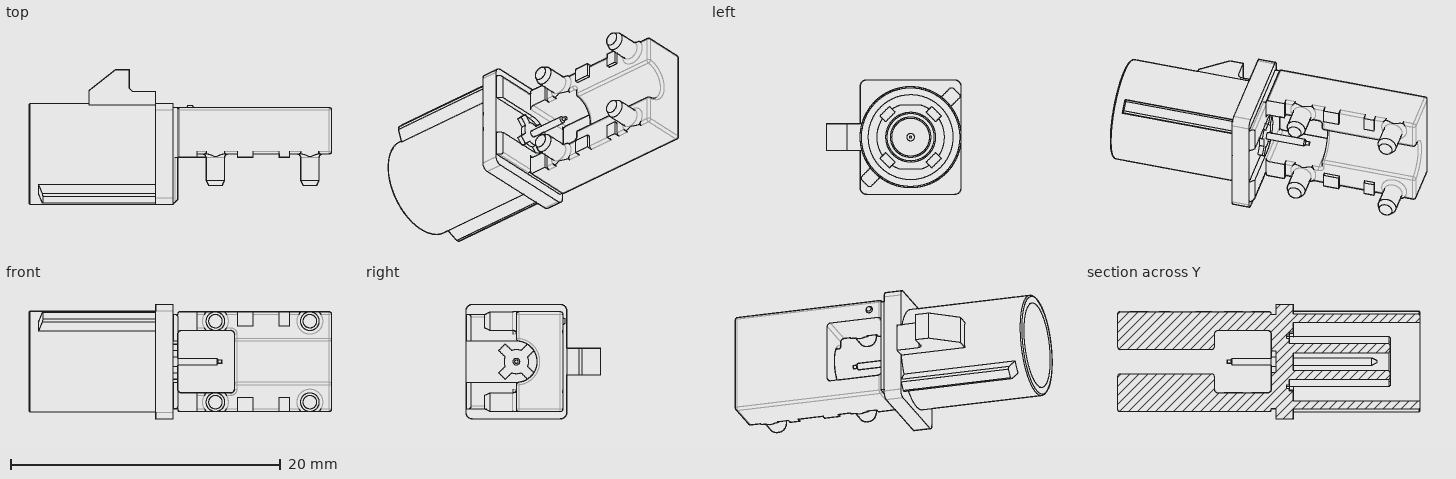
import cadquery as cq
import math


FULL_TURN = 360
DIAGONAL = 45

BARREL_RADIUS = 3.75
BARREL_BORE_RADIUS = 3.15
BARREL_EDGE_CHAMFER = 0.1

FLANGE_FRONT = 9.4
FLANGE_THICKNESS = 1.3
FLANGE_BACK = FLANGE_FRONT + FLANGE_THICKNESS
FLANGE_WIDTH = 2 * BARREL_RADIUS
FLANGE_HEIGHT = 8.5
FLANGE_CORNER_RADIUS = 0.5

POCKET_RADIUS = 2.5
POCKET_HALF_HEIGHT = 2.37
POCKET_DEPTH = 0.3
WINDOW_WIDTH = 1.0
WINDOW_INNER = 2.12
WINDOW_OUTER = 2.72
WINDOW_DEPTH = 0.5

TUBE_FRONT = 2.22
TUBE_RADIUS = 1.85
TUBE_BORE_RADIUS = 1.4
TUBE_EDGE_CHAMFER = 0.1
CONTACT_FRONT = 3.2
CONTACT_FRONT_RADIUS = 0.28
CONTACT_TIP_LENGTH = 0.4
CONTACT_TIP_RADIUS = 0.08
TAIL_RADIUS = 0.25
TAIL_END = 14.03
TAIL_CHAMFER = 0.1
TAIL_NIB_RADIUS = 0.13
TAIL_NIB_LENGTH = 0.27

LATCH_FRONT = 4.45
LATCH_WIDTH = 2.0
LATCH_TOP = 6.25
LATCH_NOSE_TOP = 4.7
LATCH_CREST_FRONT = 6.42
LATCH_CREST_BACK = 7.45
LATCH_BACK_TOP = 4.65
LATCH_CORNER_CHAMFER = 0.22

RIB_TIP = 4.8
RIB_WIDTH = 1.0
RIB_TIP_CHAMFER = 0.15
RIB_FRONT_AT_BARREL = 0.74
RIB_FRONT_AT_TIP = 1.05
RIB_ANGLES = (DIAGONAL, DIAGONAL + FULL_TURN / 2)

NECK_BACK = 11.05
NECK_HALF_HEIGHT = 3.5
NECK_BOTTOM = -3.7
NECK_CHAMFER = 0.34
NECK_EDGE_RADIUS = 0.2
NECK_SLOT_HALF_HEIGHT = 1.54

CROSS_LENGTH = 1.51
CROSS_ARM_WIDTH = 0.68
CROSS_HUB_RADIUS = 0.9

BLOCK_BACK = 22.45
BLOCK_TOP = 3.45
BLOCK_HALF_HEIGHT = 3.7
BLOCK_EDGE_RADIUS = 0.2
BLOCK_FRONT_EDGE_RADIUS = 0.13
WELL_BACK = 15.23
WELL_HALF_HEIGHT = 2.3
WELL_CORNER_RADIUS = 0.25
GROOVE_RADIUS = 1.53
KNOB_X = 11.96
KNOB_Z = (WELL_HALF_HEIGHT + BLOCK_HALF_HEIGHT) / 2
KNOB_RADIUS = 0.25
KNOB_HEIGHT = 0.15
KNOB_TAPER_ANGLE = 25

PAD_HEIGHT = 0.25
PAD_INNER = 2.65
FRONT_PAD_BACK = 12.45
PAD_SPANS = ((15.45, 16.63), (18.56, 19.33))

PIN_X = (13.83, 20.83)
PIN_Z = 3.0
PIN_RADIUS = 0.69
PIN_TIP_RADIUS = 0.5
PIN_TIP_LENGTH = 0.4
PIN_LENGTH = 2.35
PIN_FOOT_RADIUS = 0.27

TUBE_ROOT = 0.3


def disc(radius, start, end):
    """Cylinder about the X axis from x = start to x = end."""
    return cq.Workplane("YZ", origin=(start, 0, 0)).circle(radius).extrude(end - start)


def box(x_range, y_range, z_range):
    """Box given by its limits along each axis."""
    size = [high - low for low, high in (x_range, y_range, z_range)]
    corner = cq.Vector(x_range[0], y_range[0], z_range[0])
    return cq.Workplane(cq.Solid.makeBox(*size, corner))


def make_shell():
    barrel = disc(BARREL_RADIUS, 0, FLANGE_FRONT).faces("<X").chamfer(BARREL_EDGE_CHAMFER)
    flange = (
        cq.Workplane("YZ", origin=(FLANGE_FRONT, 0, 0))
        .rect(FLANGE_WIDTH, FLANGE_HEIGHT)
        .extrude(FLANGE_THICKNESS)
        .edges("|X")
        .fillet(FLANGE_CORNER_RADIUS)
    )
    return barrel.union(flange)


def make_rib(angle):
    half_width = RIB_WIDTH / 2
    rib = (
        cq.Workplane("XZ", origin=(0, half_width, 0))
        .polyline([
            (FLANGE_FRONT, BARREL_BORE_RADIUS),
            (RIB_FRONT_AT_BARREL, BARREL_BORE_RADIUS),
            (RIB_FRONT_AT_BARREL, BARREL_RADIUS),
            (RIB_FRONT_AT_TIP, RIB_TIP),
            (FLANGE_FRONT, RIB_TIP),
        ])
        .close()
        .extrude(RIB_WIDTH)
        .edges("|X and >Z")
        .chamfer(RIB_TIP_CHAMFER)
    )
    return rib.rotate((0, 0, 0), (1, 0, 0), angle)


def make_latch():
    return (
        cq.Workplane("XY", origin=(0, 0, -LATCH_WIDTH / 2))
        .moveTo(LATCH_FRONT, BARREL_BORE_RADIUS)
        .lineTo(LATCH_FRONT, LATCH_NOSE_TOP)
        .lineTo(LATCH_CREST_FRONT, LATCH_TOP)
        .lineTo(LATCH_CREST_BACK, LATCH_TOP)
        .lineTo(LATCH_CREST_BACK, LATCH_BACK_TOP + LATCH_CORNER_CHAMFER)
        .lineTo(LATCH_CREST_BACK + LATCH_CORNER_CHAMFER, LATCH_BACK_TOP)
        .lineTo(FLANGE_FRONT, LATCH_BACK_TOP)
        .lineTo(FLANGE_FRONT, BARREL_BORE_RADIUS)
        .close()
        .extrude(LATCH_WIDTH)
    )


def make_bore():
    pocket = disc(POCKET_RADIUS, FLANGE_FRONT, FLANGE_FRONT + POCKET_DEPTH).intersect(
        box(
            (0, FLANGE_BACK),
            (-POCKET_RADIUS, POCKET_RADIUS),
            (-POCKET_HALF_HEIGHT, POCKET_HALF_HEIGHT),
        )
    )
    bore = disc(BARREL_BORE_RADIUS, 0, FLANGE_FRONT).union(pocket)
    window = box(
        (FLANGE_FRONT, FLANGE_FRONT + WINDOW_DEPTH),
        (-WINDOW_WIDTH / 2, WINDOW_WIDTH / 2),
        (WINDOW_INNER, WINDOW_OUTER),
    )
    for quarter in range(4):
        bore = bore.union(window.rotate((0, 0, 0), (1, 0, 0), DIAGONAL + quarter * FULL_TURN / 4))
    return bore


def make_tube():
    tube = disc(TUBE_RADIUS, TUBE_FRONT, FLANGE_FRONT + POCKET_DEPTH + TUBE_ROOT)
    tube = tube.cut(disc(TUBE_BORE_RADIUS, TUBE_FRONT, FLANGE_FRONT))
    return tube.faces("<X").chamfer(TUBE_EDGE_CHAMFER)


def make_contact():
    profile = [
        (CONTACT_FRONT, 0),
        (CONTACT_FRONT, CONTACT_TIP_RADIUS),
        (CONTACT_FRONT + CONTACT_TIP_LENGTH, CONTACT_FRONT_RADIUS),
        (FLANGE_BACK, CONTACT_FRONT_RADIUS),
        (FLANGE_BACK, TAIL_RADIUS),
        (TAIL_END - TAIL_CHAMFER, TAIL_RADIUS),
        (TAIL_END, TAIL_NIB_RADIUS),
        (TAIL_END + TAIL_NIB_LENGTH, TAIL_NIB_RADIUS),
        (TAIL_END + TAIL_NIB_LENGTH, 0),
    ]
    return cq.Workplane("XY").polyline(profile).close().revolve(FULL_TURN, (0, 0, 0), (1, 0, 0))


def make_neck():
    z_range = (-NECK_HALF_HEIGHT, NECK_HALF_HEIGHT)
    upper = box((FLANGE_BACK, NECK_BACK), (-PAD_HEIGHT, BLOCK_TOP), z_range)
    lower = (
        box((FLANGE_BACK, NECK_BACK), (NECK_BOTTOM, -PAD_HEIGHT), z_range)
        .edges(">X and <Y")
        .chamfer(NECK_CHAMFER)
        .edges("|Y and >X")
        .fillet(NECK_EDGE_RADIUS)
    )
    neck = upper.union(lower)
    slot = disc(NECK_SLOT_HALF_HEIGHT, FLANGE_BACK, NECK_BACK).union(
        box(
            (FLANGE_BACK, NECK_BACK),
            (NECK_BOTTOM, 0),
            (-NECK_SLOT_HALF_HEIGHT, NECK_SLOT_HALF_HEIGHT),
        )
    )
    cross = disc(CROSS_HUB_RADIUS, FLANGE_BACK, NECK_BACK)
    arm = box(
        (FLANGE_BACK, NECK_BACK),
        (-CROSS_ARM_WIDTH / 2, CROSS_ARM_WIDTH / 2),
        (-CROSS_LENGTH, CROSS_LENGTH),
    )
    for angle in (DIAGONAL, DIAGONAL + FULL_TURN / 4):
        cross = cross.union(arm.rotate((0, 0, 0), (1, 0, 0), angle))
    return neck.cut(slot).union(cross)


def make_well(bottom, top):
    """Open well between the neck and the grooved part of the block."""
    return (
        box((NECK_BACK, WELL_BACK), (bottom, top), (-WELL_HALF_HEIGHT, WELL_HALF_HEIGHT))
        .edges("|Y")
        .fillet(WELL_CORNER_RADIUS)
    )


def make_block_front():
    """Sides of the block next to the neck, deep enough to stand on the board."""
    return (
        box(
            (NECK_BACK, FRONT_PAD_BACK),
            (-PAD_HEIGHT, BLOCK_TOP),
            (-BLOCK_HALF_HEIGHT, BLOCK_HALF_HEIGHT),
        )
        .edges(">Y and |X")
        .fillet(BLOCK_EDGE_RADIUS)
        .edges("|Y and <X")
        .fillet(BLOCK_FRONT_EDGE_RADIUS)
        .cut(make_well(-PAD_HEIGHT, BLOCK_TOP))
    )


def make_block_rear():
    """Rounded, grooved part of the block that carries the board pins."""
    outer_top_edges = "(>Y and |X and (>Z or <Z))"
    bottom_edges = "(<Y and (not <X))"
    groove_end_edges = "(%CIRCLE and (not >Y))"
    return (
        box(
            (FRONT_PAD_BACK, BLOCK_BACK),
            (0, BLOCK_TOP),
            (-BLOCK_HALF_HEIGHT, BLOCK_HALF_HEIGHT),
        )
        .cut(make_well(0, BLOCK_TOP))
        .cut(disc(GROOVE_RADIUS, FRONT_PAD_BACK, BLOCK_BACK))
        .edges(f"{outer_top_edges} or {bottom_edges} or {groove_end_edges} or >X")
        .fillet(BLOCK_EDGE_RADIUS)
    )


def make_pads():
    pads = cq.Workplane()
    for x_range in PAD_SPANS:
        for z_range in ((PAD_INNER, BLOCK_HALF_HEIGHT), (-BLOCK_HALF_HEIGHT, -PAD_INNER)):
            pads = pads.add(box(x_range, (-PAD_HEIGHT, BLOCK_EDGE_RADIUS), z_range))
    return pads.combine()


def make_pin(x, z):
    foot_outer = PIN_RADIUS + PIN_FOOT_RADIUS
    foot_middle = PIN_FOOT_RADIUS * (1 - math.sqrt(0.5))
    return (
        cq.Workplane("XY", origin=(x, 0, z))
        .moveTo(0, BLOCK_EDGE_RADIUS)
        .lineTo(foot_outer, BLOCK_EDGE_RADIUS)
        .lineTo(foot_outer, 0)
        .threePointArc((PIN_RADIUS + foot_middle, -foot_middle), (PIN_RADIUS, -PIN_FOOT_RADIUS))
        .lineTo(PIN_RADIUS, PIN_TIP_LENGTH - PIN_LENGTH)
        .lineTo(PIN_TIP_RADIUS, -PIN_LENGTH)
        .lineTo(0, -PIN_LENGTH)
        .close()
        .revolve(FULL_TURN, (0, 0, 0), (0, 1, 0))
    )


def make_pins():
    pins = cq.Workplane()
    for x in PIN_X:
        for z in (-PIN_Z, PIN_Z):
            pins = pins.add(make_pin(x, z))
    y_range = (-PIN_LENGTH, BLOCK_EDGE_RADIUS)
    walls = box((NECK_BACK, BLOCK_BACK), y_range, (-BLOCK_HALF_HEIGHT, BLOCK_HALF_HEIGHT))
    return pins.combine().intersect(walls.cut(make_well(*y_range)))


def make_knob():
    return (
        cq.Workplane("XZ", origin=(KNOB_X, BLOCK_TOP, KNOB_Z))
        .circle(KNOB_RADIUS)
        .extrude(-KNOB_HEIGHT, taper=KNOB_TAPER_ANGLE)
    )


shell = make_shell().union(make_latch())
for rib_angle in RIB_ANGLES:
    shell = shell.union(make_rib(rib_angle))
shell = shell.cut(make_bore()).union(make_tube()).union(make_contact())

result = shell.union(make_neck())
for rear_part in (make_block_front(), make_block_rear(), make_pads(), make_pins(), make_knob()):
    result = result.union(rear_part)